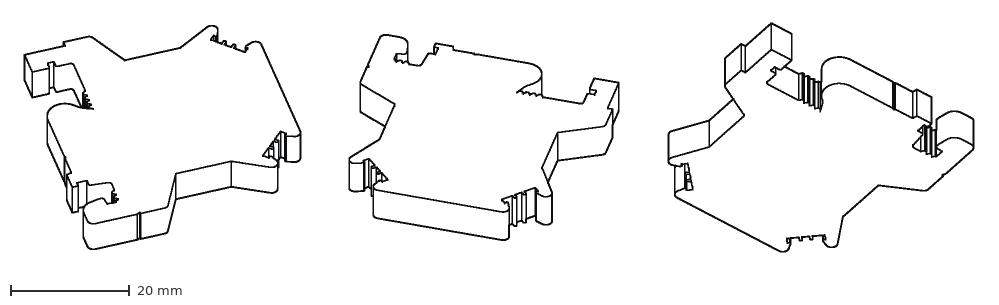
import cadquery as cq
import math


length = 42.9
height = 40.63
thickness = 6.1
half_length = length / 2

waist_x = 14.2
waist_bottom_y = 17.6
waist_top_y = 27.35
shoulder_y = 13.8
shoulder_radius = 0.85
ledge_y = 9.05

notch_center_x = 12.23
notch_center_y = 35.15
notch_floor_length = 6.48
notch_half_width = notch_floor_length / 2
notch_wall = 1.1
lip_tip_offset = 2.85
lip_tip_depth = 1.0
lip_bevel_offset = 2.7
lip_bevel_depth = 1.35
lip_end_radius = 1.05
top_corner_x = 12.35
arm_corner_x = 19.1
arm_corner_y = 35.85
nub_spacing = 1.8
nub_width = 0.5
nub_height = 0.8
nub_tip_radius = 0.2

foot_left_x = -20.55
foot_right_x = -16.2
foot_bottom_y = 1.9
foot_slot_bottom_y = 4.98
foot_slot_top_y = 6.1
foot_slot_x = -17.45
slot_mouth_radius = 0.3
foot_root_radius = 0.47

tooth_height = 0.55
tooth_tip_width = 0.4
left_tooth_count = 4
left_teeth_length = 4.55
tooth_pitch = left_teeth_length / left_tooth_count
left_teeth_start_x = -9.25
right_tooth_count = 2
right_teeth_start_x = 14.75

base_y = 0.95
base_right_y = 0.9
hump_radius = 3.0
hump_center_x = -4.55
hump_neck_x = -5.6
hump_neck_radius = 2.57
vee_start_x = 4.45
vee_tip_x = 4.85
vee_end_x = 5.0
vee_depth = 0.17

toe_top_x = 8.65
toe_left_x = 8.9
toe_right_x = 12.0
toe_top_y = 1.07
toe_slot_x = 11.25
toe_slot_top_y = 2.85
toe_mouth_x = 12.45

opening_left_x = 12.83
opening_top_y = 6.55
opening_radius = 0.55
opening_right_x = 17.6
hook_tip_x = 16.0
hook_tip_y = 4.2
hook_seat_y = 4.4
hook_tip_radius = 0.47
hook_flank_x = 16.05
hook_flank_y = 3.3
hook_base_x = 16.75
hook_inner_radius = 1.97
hook_outer_radius = 1.07
nick_depth = 0.3
nick_height = 0.55


def unit(start, end):
    distance = math.hypot(end[0] - start[0], end[1] - start[1])
    return (end[0] - start[0]) / distance, (end[1] - start[1]) / distance


def rounded_outline(corners):
    """Closed wire through the corners, each rounded by a tangent arc of its own radius."""
    path = None
    for i, corner in enumerate(corners):
        x, y, radius = corner
        back_x, back_y = unit(corner, corners[i - 1])
        ahead_x, ahead_y = unit(corner, corners[(i + 1) % len(corners)])
        half_angle = math.acos(back_x * ahead_x + back_y * ahead_y) / 2
        setback = radius / math.tan(half_angle)
        start = (x + back_x * setback, y + back_y * setback)
        path = path.lineTo(*start) if path else cq.Workplane("XY").moveTo(*start)
        if radius > 0:
            bisector_x, bisector_y = unit((0, 0), (back_x + ahead_x, back_y + ahead_y))
            reach = radius / math.sin(half_angle) - radius
            middle = (x + bisector_x * reach, y + bisector_y * reach)
            end = (x + ahead_x * setback, y + ahead_y * setback)
            path = path.threePointArc(middle, end)
    return path.close()


def notch_point(along, outward):
    """Right-hand notch coordinates: along its floor (upward) and out of the part."""
    diagonal = math.sqrt(0.5)
    return (
        notch_center_x + (outward - along) * diagonal,
        notch_center_y + (outward + along) * diagonal,
    )


def nub_corners(center):
    """Round-ended nub standing on the notch floor."""
    side = nub_width / 2
    return [
        (*notch_point(center - side, 0), 0),
        (*notch_point(center - side, nub_height), nub_tip_radius),
        (*notch_point(center + side, nub_height), nub_tip_radius),
        (*notch_point(center + side, 0), 0),
    ]


def upper_right_corners():
    """Corners from the right shoulder up to the top edge."""
    return [
        (half_length, shoulder_y, shoulder_radius),
        (waist_x, waist_bottom_y, 0),
        (waist_x, waist_top_y, 0),
        (arm_corner_x, arm_corner_y, lip_end_radius),
        (*notch_point(-lip_bevel_offset, lip_bevel_depth), 0),
        (*notch_point(-lip_tip_offset, lip_tip_depth), 0),
        (*notch_point(-notch_half_width, notch_wall), 0),
        (*notch_point(-notch_half_width, 0), 0),
        *nub_corners(-nub_spacing / 2),
        *nub_corners(nub_spacing / 2),
        (*notch_point(notch_half_width, 0), 0),
        (*notch_point(notch_half_width, notch_wall), 0),
        (*notch_point(lip_tip_offset, lip_tip_depth), 0),
        (*notch_point(lip_bevel_offset, lip_bevel_depth), 0),
        (top_corner_x, height, lip_end_radius),
    ]


def mirrored(corners):
    return [(-x, y, radius) for x, y, radius in reversed(corners)]


def tooth_corners(start_x, root_y, count):
    """Row of blunt teeth pointing down from root_y, running in +x."""
    flank = (tooth_pitch - tooth_tip_width) / 2
    corners = [(start_x, root_y, 0)]
    for i in range(count):
        left = start_x + i * tooth_pitch
        right = left + tooth_pitch
        corners += [
            (left + flank, root_y - tooth_height, 0),
            (right - flank, root_y - tooth_height, 0),
            (right, root_y, 0),
        ]
    return corners


def foot_corners():
    """Left ledge, rail foot and its slot, ending in the root of the rail seat."""
    return [
        (-half_length, ledge_y, 0),
        (foot_left_x, ledge_y, 0),
        (foot_left_x, foot_bottom_y, 0),
        (foot_right_x, foot_bottom_y, 0),
        (foot_right_x, foot_slot_bottom_y, slot_mouth_radius),
        (foot_slot_x, foot_slot_bottom_y, 0),
        (foot_slot_x, foot_slot_top_y, 0),
        (foot_right_x, foot_slot_top_y, slot_mouth_radius),
        (foot_right_x, ledge_y, foot_root_radius),
    ]


def hump_corners():
    """Hump between the 45 degree neck flank and the base, then the vee mark in the base."""
    hump_corner_x = hump_center_x - hump_radius * (1 + math.sqrt(2))
    neck_y = base_y + hump_neck_x - hump_corner_x
    return [
        (hump_neck_x, neck_y, hump_neck_radius),
        (hump_corner_x, base_y, hump_radius),
        (vee_start_x, base_y, 0),
        (vee_tip_x, base_y + vee_depth, 0),
        (vee_end_x, base_right_y, 0),
    ]


def toe_corners():
    """Clip toe with its slot, and the slanted left side of the hook opening."""
    return [
        (toe_top_x, base_right_y, 0),
        (toe_left_x, 0, 0),
        (toe_right_x, 0, 0),
        (toe_right_x, toe_top_y, 0),
        (toe_slot_x, toe_top_y, 0),
        (toe_slot_x, toe_slot_top_y, 0),
        (toe_mouth_x, toe_slot_top_y, slot_mouth_radius),
        (opening_left_x, opening_top_y, opening_radius),
    ]


def hook_corners():
    """Half tooth against the opening's right wall, the hook, and the nick in the right side."""
    half_tooth_x = right_teeth_start_x + right_tooth_count * tooth_pitch
    half_tooth_tip_x = half_tooth_x + (tooth_pitch - tooth_tip_width) / 2
    return [
        (half_tooth_tip_x, opening_top_y - tooth_height, 0),
        (opening_right_x, opening_top_y - tooth_height, 0),
        (opening_right_x, hook_seat_y, 0),
        (hook_tip_x, hook_tip_y, hook_tip_radius),
        (hook_flank_x, hook_flank_y, 0),
        (hook_base_x, 0, hook_inner_radius),
        (half_length, 0, hook_outer_radius),
        (half_length, ledge_y - nick_height, 0),
        (half_length - nick_depth, ledge_y, 0),
        (half_length, ledge_y, 0),
    ]


upper_right = upper_right_corners()
outline = [
    *upper_right,
    *mirrored(upper_right),
    *foot_corners(),
    *tooth_corners(left_teeth_start_x, ledge_y, left_tooth_count),
    *hump_corners(),
    *toe_corners(),
    *tooth_corners(right_teeth_start_x, opening_top_y, right_tooth_count),
    *hook_corners(),
]

result = rounded_outline(outline).extrude(thickness)